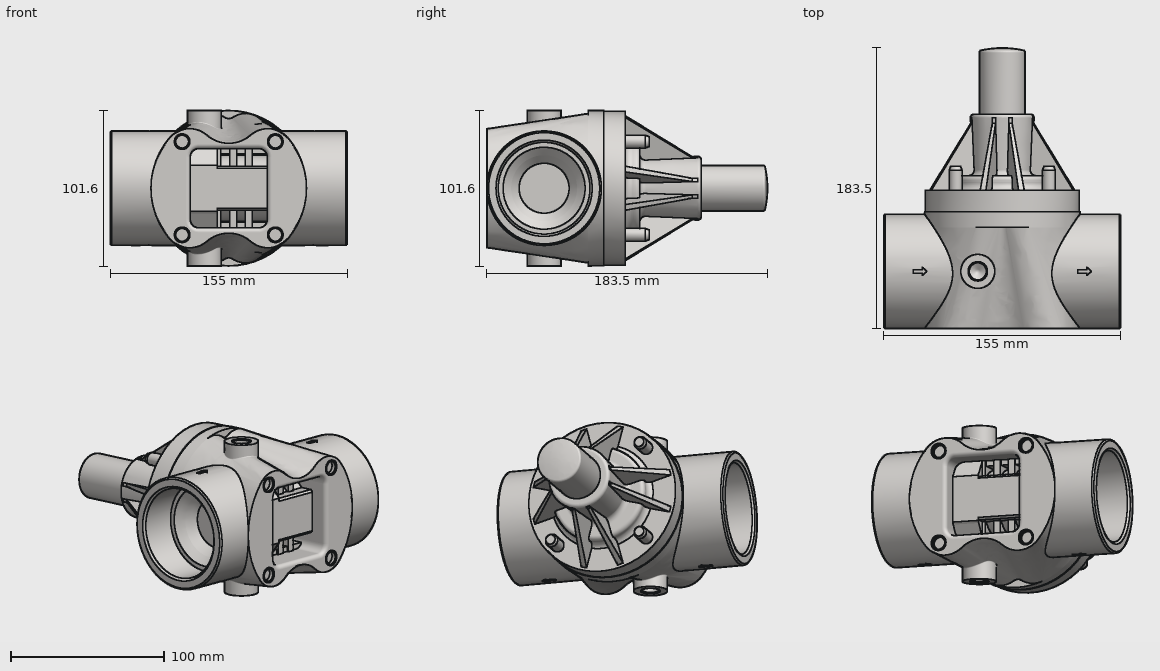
import cadquery as cq
import math


length_x = 155.0
pipe_dia = 74.8
pipe_axis_y = pipe_dia / 2
pipe_chamfer = 1.1
stub_root_x = 9.2
socket_dia = 60.0
socket_depth = 25.7
socket_mouth_dia = 63.0
throat_dia = 53.5
throat_mid_dia = 43.1
throat_mid_depth = 30.6
throat_end_dia = 32.7
throat_end_depth = 36.7

flange_dia = 101.6
body_flange_y = 66.2
joint_y = 76.3
cap_flange_dia = 100.9
bonnet_top_y = 90.5

face_lobe_radius = 17.5
face_lobe_angle = 40.0
face_waist = 29.4
shoulder_lobe_radius = 16.5
shoulder_lobe_angle = 70.5
shoulder_waist = 45.5

port_x = -16.0
port_dia = 22.2
port_base_fillet = 0.5
port_hole_dia = 11.2
port_hole_depth = 16.5
port_hole_chamfer = 0.7
drill_angle = 118.0

bolt_offset = 30.5
face_hole_dia = 8.5
face_hole_depth = 3.3
face_recess_dia = 10.0
face_recess_depth = 0.5
stud_dia = 8.5
stud_tip_dia = 6.5
stud_top_y = 106.0
stud_tip_length = 2.5

foot_dia = 63.5
foot_flare_dia = 70.0
foot_flare_y = 95.8
foot_top_y = 100.0
foot_round = 3.0
neck_dia = 39.0
neck_fillet = 3.7
collar_dia = 41.6
collar_y = 137.8
collar_top_y = 140.1
collar_round = collar_top_y - collar_y
spindle_dia = 29.9
spindle_round = 1.5
dome_edge_y = 181.6
total_y = 183.5

rib_half_angle = 15.0
rib_foot_reach = 48.5
rib_top_reach = 21.0
rib_top_y = 134.3
rib_foot_width = 3.9
rib_top_width = 2.2

window_width = 50.3
window_height = 51.7
window_corner = 5.5
window_round = 3.0
window_floor_y = 20.0
core_flat_y = 12.0
core_step_x = -7.3
core_edge_chamfer = 1.5
inlet_core_height = 33.0
outlet_core_height = 29.0
slot_start_x = -5.1
slot_outer_height = 44.8
ledge_y = 21.3
slot_floor_radius = 21.6
web_spans = [(0.5, 5.3), (10.6, 15.2)]

arrow_x = 53.7
arrow_length = 9.0
arrow_head_length = 3.0
arrow_head_width = 5.3
arrow_shaft_width = 2.2
arrow_depth = 0.4

pick_margin = 1.0

BACK = cq.Plane(origin=(0, 0, 0), xDir=(1, 0, 0), normal=(0, 1, 0))


def back_plane(y):
    return cq.Workplane(BACK).workplane(offset=y)


def cylinder_y(dia, y_start, y_end):
    return back_plane(y_start).circle(dia / 2).extrude(y_end - y_start)


def cylinder_x(dia, x_start, x_end):
    plane = cq.Workplane("YZ").workplane(offset=x_start).center(pipe_axis_y, 0)
    return plane.circle(dia / 2).extrude(x_end - x_start)


def box_between(x0, x1, y0, y1, height):
    block = cq.Workplane("XY").box(x1 - x0, y1 - y0, height)
    return block.translate(((x0 + x1) / 2, (y0 + y1) / 2, 0))


def waisted_wire(y, waist, lobe_radius, lobe_angle):
    """Circle of the flange size, dipped at the top and bottom between two convex lobes."""
    big_r = flange_dia / 2
    lobe_dir = math.radians(lobe_angle)
    lobe_x = (big_r - lobe_radius) * math.cos(lobe_dir)
    lobe_z = (big_r - lobe_radius) * math.sin(lobe_dir)
    rise = waist - lobe_z
    dip_r = (lobe_x**2 + rise**2 - lobe_radius**2) / (2 * (lobe_radius - rise))
    share = lobe_radius / (lobe_radius + dip_r)
    touch = (lobe_x * (1 - share), lobe_z + share * (waist + dip_r - lobe_z))
    tangent = (big_r * math.cos(lobe_dir), big_r * math.sin(lobe_dir))
    to_touch = math.atan2(touch[1] - lobe_z, touch[0] - lobe_x)
    crown_dir = (lobe_dir + to_touch) / 2
    crown = (lobe_x + lobe_radius * math.cos(crown_dir), lobe_z + lobe_radius * math.sin(crown_dir))

    def flip(point, sx, sz):
        return (sx * point[0], sz * point[1])

    outline = back_plane(y).moveTo(*tangent)
    for side in (1, -1):
        outline = (
            outline.threePointArc(flip(crown, side, side), flip(touch, side, side))
            .threePointArc((0, side * waist), flip(touch, -side, side))
            .threePointArc(flip(crown, -side, side), flip(tangent, -side, side))
            .threePointArc((-side * big_r, 0), flip(tangent, -side, -side))
        )
    return outline.close().val()


def make_body():
    face = waisted_wire(0, face_waist, face_lobe_radius, face_lobe_angle)
    shoulder = waisted_wire(body_flange_y, shoulder_waist, shoulder_lobe_radius, shoulder_lobe_angle)
    body = cq.Workplane(cq.Solid.makeLoft([face, shoulder], True))
    body = body.union(cylinder_y(flange_dia, body_flange_y, joint_y))
    body = body.union(cylinder_y(cap_flange_dia, joint_y, bonnet_top_y))
    stub = cylinder_x(pipe_dia, stub_root_x, length_x / 2).faces(">X").chamfer(pipe_chamfer)
    return body.union(stub).union(stub.mirror("YZ"))


def make_ports():
    plane = cq.Workplane("XY").center(port_x, pipe_axis_y)
    return plane.circle(port_dia / 2).extrude(flange_dia / 2, both=True)


def fillet_port_bases(part):
    """Round the curved seams where the ports leave the blended body."""
    reach = port_dia / 2 + pick_margin
    for side in (-1, 1):
        z_ends = sorted((side * window_height / 2, side * flange_dia / 2))
        low = (port_x - reach, pipe_axis_y - reach, z_ends[0])
        high = (port_x + reach, pipe_axis_y + reach, z_ends[1])
        zone = cq.selectors.BoxSelector(low, high)
        part = part.edges(zone).edges("%BSPLINE").fillet(port_base_fillet)
    return part


def make_bonnet():
    """Flared foot, drafted neck and collar, turned about the Y axis."""
    foot_r = foot_dia / 2
    neck_r = neck_dia / 2
    flare_r = foot_flare_dia / 2
    collar_r = collar_dia / 2
    diagonal = math.sqrt(0.5)
    round_mid = foot_round * diagonal
    fillet_mid = neck_fillet * (1 - diagonal)
    collar_mid = collar_round * diagonal
    flare_mid = (foot_r + (flare_r - foot_r) / 4, bonnet_top_y + (foot_flare_y - bonnet_top_y) / 3)
    profile = (
        cq.Workplane("XY")
        .moveTo(0, bonnet_top_y)
        .lineTo(flare_r, bonnet_top_y)
        .threePointArc(flare_mid, (foot_r, foot_flare_y))
        .lineTo(foot_r, foot_top_y - foot_round)
        .threePointArc(
            (foot_r - foot_round + round_mid, foot_top_y - foot_round + round_mid),
            (foot_r - foot_round, foot_top_y),
        )
        .lineTo(neck_r + neck_fillet, foot_top_y)
        .threePointArc(
            (neck_r + fillet_mid, foot_top_y + fillet_mid), (neck_r, foot_top_y + neck_fillet)
        )
        .lineTo(collar_r, collar_y)
        .threePointArc(
            (collar_r - collar_round + collar_mid, collar_y + collar_mid),
            (collar_r - collar_round, collar_top_y),
        )
        .lineTo(0, collar_top_y)
        .close()
    )
    return profile.revolve(360, (0, 0, 0), (0, 1, 0))


def make_spindle():
    """Plain shaft with a shallow domed end; halfway out, the dome has lost a quarter of its rise."""
    dome_mid = (spindle_dia / 4, dome_edge_y + (total_y - dome_edge_y) * 3 / 4)
    profile = (
        cq.Workplane("XY")
        .moveTo(0, bonnet_top_y)
        .lineTo(spindle_dia / 2, bonnet_top_y)
        .lineTo(spindle_dia / 2, dome_edge_y)
        .threePointArc(dome_mid, (0, total_y))
        .close()
    )
    spindle = profile.revolve(360, (0, 0, 0), (0, 1, 0))
    dome_edge = cq.selectors.NearestToPointSelector((0, dome_edge_y, 0))
    return spindle.edges("%CIRCLE").edges(dome_edge).fillet(spindle_round)


def make_rib():
    """Tapered rib reaching along +X from the spindle axis."""
    slope = (
        back_plane(bonnet_top_y)
        .center(rib_foot_reach / 2, 0)
        .rect(rib_foot_reach, rib_foot_width)
        .workplane(offset=rib_top_y - bonnet_top_y)
        .center((rib_top_reach - rib_foot_reach) / 2, 0)
        .rect(rib_top_reach, rib_top_width)
        .loft(ruled=True)
    )
    return slope.union(box_between(0, rib_top_reach, rib_top_y, collar_y, rib_top_width))


def make_studs():
    corners = back_plane(bonnet_top_y).rect(2 * bolt_offset, 2 * bolt_offset, forConstruction=True)
    studs = corners.vertices().circle(stud_dia / 2).extrude(stud_top_y - bonnet_top_y)
    return studs.faces(">Y").chamfer(stud_tip_length, (stud_dia - stud_tip_dia) / 2)


def make_bore():
    """Socket and narrowing throat of the stub on -X."""
    lip = (socket_mouth_dia - socket_dia) / 2
    profile = (
        cq.Workplane("XY")
        .moveTo(0, 0)
        .lineTo(socket_mouth_dia / 2, 0)
        .lineTo(socket_dia / 2, lip)
        .lineTo(socket_dia / 2, socket_depth)
        .lineTo(throat_dia / 2, socket_depth)
        .lineTo(throat_mid_dia / 2, throat_mid_depth)
        .lineTo(throat_end_dia / 2, throat_end_depth)
        .lineTo(0, throat_end_depth)
        .close()
    )
    bore = profile.revolve(360, (0, 0, 0), (0, 1, 0)).rotate((0, 0, 0), (0, 0, 1), -90)
    return bore.translate((-length_x / 2, pipe_axis_y, 0))


def core_section(x_start, x_end, points):
    """Bar along X whose section is mirrored about Z = 0; points are (y, z) from the flat inwards."""
    mirrored = [(y, -z) for y, z in reversed(points)]
    plane = cq.Workplane("YZ").workplane(offset=x_start)
    return plane.polyline(points + mirrored).close().extrude(x_end - x_start)


def make_core():
    """Narrow outlet side with straight flanks, wider inlet side with flanks sloping to the floor."""
    shoulder_y = core_flat_y + core_edge_chamfer
    inlet_z = inlet_core_height / 2
    outlet_z = outlet_core_height / 2
    inlet_flank = [
        (core_flat_y, inlet_z - core_edge_chamfer),
        (shoulder_y, inlet_z),
        (window_floor_y, window_height / 2),
    ]
    outlet_flank = [
        (core_flat_y, outlet_z - core_edge_chamfer),
        (shoulder_y, outlet_z),
        (window_floor_y, outlet_z),
    ]
    inlet = core_section(-window_width, core_step_x, inlet_flank)
    outlet = core_section(core_step_x, window_width, outlet_flank)
    return inlet.union(outlet)


def make_slots():
    """Slots above and below the core with a rounded floor, a ledge beyond them and webs across."""
    half = window_width / 2
    slots = box_between(slot_start_x, half, window_floor_y, pipe_axis_y, slot_outer_height)
    slots = slots.cut(cylinder_x(2 * slot_floor_radius, slot_start_x, half))
    slots = slots.union(box_between(slot_start_x, half, window_floor_y, ledge_y, window_height))
    slots = slots.cut(box_between(slot_start_x, half, window_floor_y, pipe_axis_y, outlet_core_height))
    for x0, x1 in web_spans:
        slots = slots.cut(box_between(x0, x1, window_floor_y, pipe_axis_y, window_height))
    return slots


def window_prism(y_start, y_end):
    prism = back_plane(y_start).rect(window_width, window_height).extrude(y_end - y_start)
    return prism.edges("|Y").fillet(window_corner)


def make_window():
    opening = window_prism(0, window_floor_y).cut(make_core())
    recess = window_prism(window_floor_y, pipe_axis_y).intersect(make_slots())
    return opening.union(recess)


def round_window_rim(part):
    reach = window_height / 2 + pick_margin
    rim = cq.selectors.BoxSelector((-reach, -pick_margin, -reach), (reach, pick_margin, reach))
    return part.edges(rim).fillet(window_round)


def make_arrow(x):
    half_head = arrow_head_width / 2
    half_shaft = arrow_shaft_width / 2
    neck = arrow_length / 2 - arrow_head_length
    points = [
        (-arrow_length / 2, half_shaft),
        (neck, half_shaft),
        (neck, half_head),
        (arrow_length / 2, 0),
        (neck, -half_head),
        (neck, -half_shaft),
        (-arrow_length / 2, -half_shaft),
    ]
    plane = cq.Workplane("XY").center(x, pipe_axis_y)
    stamp = plane.polyline(points).close().extrude(pipe_dia, both=True)
    return stamp.cut(cylinder_x(pipe_dia - 2 * arrow_depth, -length_x, length_x))


def make_face_holes():
    corners = back_plane(0).rect(2 * bolt_offset, 2 * bolt_offset, forConstruction=True)
    recess = corners.vertices().circle(face_recess_dia / 2).extrude(face_recess_depth)
    hole = corners.vertices().circle(face_hole_dia / 2).extrude(face_hole_depth)
    return recess.union(hole)


def make_port_hole():
    """Drilled hole of the +Z port, with a chamfered mouth and a conical end."""
    radius = port_hole_dia / 2
    cone = radius / math.tan(math.radians(drill_angle / 2))
    profile = (
        cq.Workplane("XZ")
        .moveTo(0, 0)
        .lineTo(radius + port_hole_chamfer, 0)
        .lineTo(radius, -port_hole_chamfer)
        .lineTo(radius, -port_hole_depth)
        .lineTo(0, -port_hole_depth - cone)
        .close()
    )
    hole = profile.revolve(360, (0, 0, 0), (0, 1, 0))
    return hole.translate((port_x, pipe_axis_y, flange_dia / 2))


result = fillet_port_bases(make_body().union(make_ports()))
result = result.union(make_bonnet()).union(make_spindle())
for quarter in range(4):
    for side in (-1, 1):
        angle = 90 * quarter + side * rib_half_angle
        result = result.union(make_rib().rotate((0, 0, 0), (0, 1, 0), angle))
result = result.union(make_studs())

bore = make_bore()
port_hole = make_port_hole()
for cutter in (bore, bore.mirror("YZ"), port_hole, port_hole.mirror("XY")):
    result = result.cut(cutter)
result = round_window_rim(result.cut(make_window()))
result = result.cut(make_face_holes())
for stub_x in (-arrow_x, arrow_x):
    result = result.cut(make_arrow(stub_x))
result = cq.Workplane(result.solids().val())